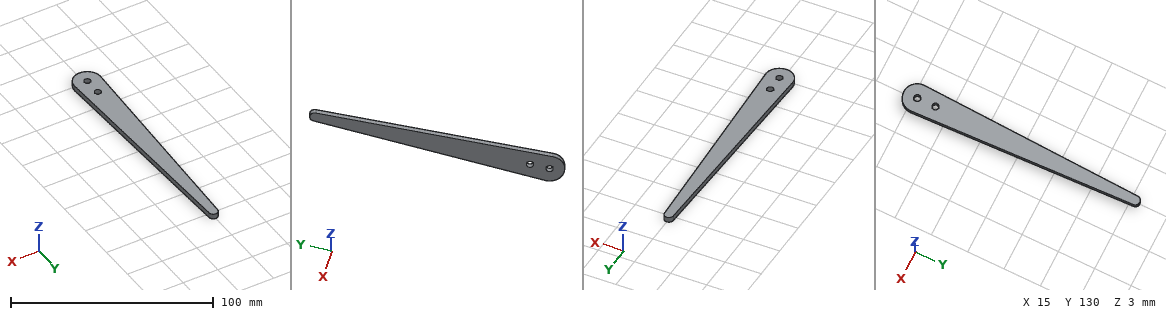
import cadquery as cq
import math

length = 130.0
width = 15.0
thickness = 3.0
tip_width = 5.0
hole_diameter = 3.5
hole_spacing = 10.0

base_radius = width / 2
tip_radius = tip_width / 2
tip_center_y = length - base_radius - tip_radius

taper_angle = math.asin((base_radius - tip_radius) / tip_center_y)


def tangent_point(radius, center_y):
    """Point where the +X side touches an end arc."""
    return radius * math.cos(taper_angle), center_y + radius * math.sin(taper_angle)


def tapered_blade():
    """Flat blade with straight sides tangent to the two rounded ends."""
    base_x, base_y = tangent_point(base_radius, 0)
    tip_x, tip_y = tangent_point(tip_radius, tip_center_y)
    return (
        cq.Workplane("XY")
        .moveTo(-base_x, base_y)
        .threePointArc((0, -base_radius), (base_x, base_y))
        .lineTo(tip_x, tip_y)
        .threePointArc((0, tip_center_y + tip_radius), (-tip_x, tip_y))
        .close()
        .extrude(thickness)
    )


def mounting_holes():
    """Two through holes on the centreline, the first at the base arc centre."""
    return (
        cq.Workplane("XY")
        .pushPoints([(0, 0), (0, hole_spacing)])
        .circle(hole_diameter / 2)
        .extrude(thickness)
    )


result = tapered_blade().cut(mounting_holes())